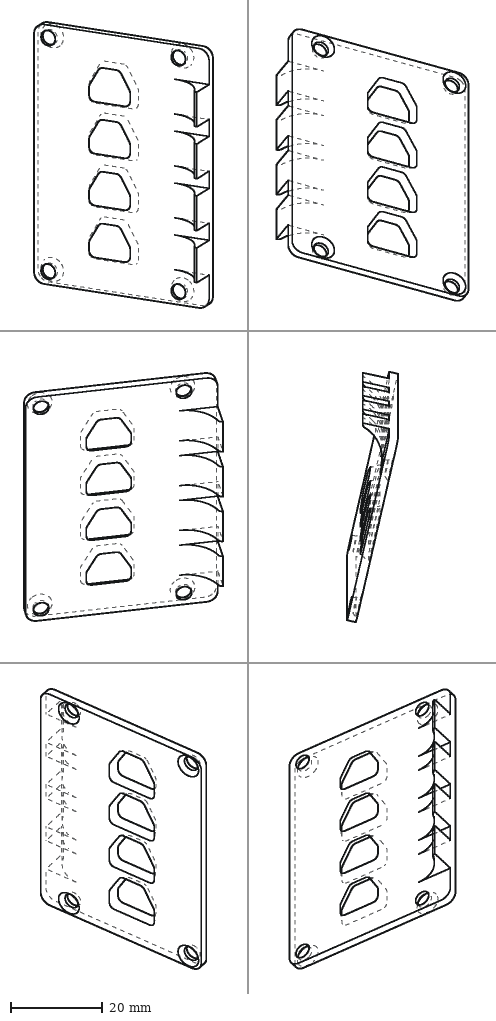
import cadquery as cq
import math

PLATE_WIDTH = 43.0
PLATE_HEIGHT = 60.0
PLATE_THICKNESS = 2.0
PLATE_CORNER_RADIUS = 2.5
LEFT_EDGE = -PLATE_WIDTH / 2
RIGHT_EDGE = PLATE_WIDTH / 2

HOLE_DIAMETER = 3.5
HOLE_COUNTERSINK_DEPTH = 1.0
HOLE_SIDE_INSET = 3.5
HOLE_END_INSET = 3.0
HOLE_SPACING_X = 32.0
HOLE_SPACING_Z = PLATE_HEIGHT - 2 * HOLE_END_INSET

STATION_COUNT = 4
STATION_PITCH = 12.0
STATION_HEIGHT = 8.05

WINDOW_WIDTH = 10.0
WINDOW_CENTER_X = LEFT_EDGE + 18.6
WINDOW_SIDE_HEIGHT = 3.55
WINDOW_SLOPE_ANGLE = 30.0
WINDOW_CORNER_RADIUS = 1.5
WINDOW_FLARE_SLOPE = 0.5

HOOK_DEPTH = 6.0
HOOK_CURVE_RADIUS = 8.0
HOOK_TIP_RADIUS = 1.0


def make_plate():
    plate = cq.Workplane("XY").box(PLATE_WIDTH, PLATE_THICKNESS, PLATE_HEIGHT)
    plate = plate.translate((0, PLATE_THICKNESS / 2, 0))
    return plate.edges("|Y").fillet(PLATE_CORNER_RADIUS)


def make_screw_hole():
    """Countersunk hole cutter along Y, centred on X = 0 and Z = 0."""
    radius = HOLE_DIAMETER / 2
    cone_start = PLATE_THICKNESS - HOLE_COUNTERSINK_DEPTH
    half_section = [
        (0, 0),
        (radius, 0),
        (radius, cone_start),
        (radius + HOLE_COUNTERSINK_DEPTH, PLATE_THICKNESS),
        (0, PLATE_THICKNESS),
    ]
    return cq.Workplane("XY").polyline(half_section).close().revolve(360, (0, 0), (0, 1))


def window_outline(growth):
    """Sharp-cornered window outline with every side moved outwards by the growth."""
    slope = math.radians(WINDOW_SLOPE_ANGLE)
    half_width = WINDOW_WIDTH / 2 + growth
    bottom = -STATION_HEIGHT / 2 - growth
    top = STATION_HEIGHT / 2 + growth
    shoulder = -STATION_HEIGHT / 2 + WINDOW_SIDE_HEIGHT + growth * math.tan(slope / 2)
    half_top = half_width - (top - shoulder) * math.tan(slope)
    return [
        (-half_width, bottom),
        (half_width, bottom),
        (half_width, shoulder),
        (half_top, top),
        (-half_top, top),
        (-half_width, shoulder),
    ]


def make_window():
    """Window cutter centred on Z = 0, widening evenly towards the back face."""
    return (
        cq.Workplane("XZ", origin=(WINDOW_CENTER_X, 0, 0))
        .polyline(window_outline(0))
        .close()
        .workplane(offset=-PLATE_THICKNESS)
        .polyline(window_outline(PLATE_THICKNESS * WINDOW_FLARE_SLOPE))
        .close()
        .loft(ruled=True)
        .edges("not #Y")
        .fillet(WINDOW_CORNER_RADIUS)
    )


def make_hook():
    """Hook centred on Z = 0, its root reaching back to the plate's mid-plane."""
    tip_y = -HOOK_DEPTH
    tip_center_y = tip_y + HOOK_TIP_RADIUS
    center_distance = HOOK_CURVE_RADIUS + HOOK_TIP_RADIUS
    center_rise = HOOK_CURVE_RADIUS + tip_center_y
    curve_angle = math.acos(center_rise / center_distance)
    curve_center_x = RIGHT_EDGE - center_distance * math.sin(curve_angle)

    def on_curve(angle):
        return (
            curve_center_x + HOOK_CURVE_RADIUS * math.sin(angle),
            -HOOK_CURVE_RADIUS + HOOK_CURVE_RADIUS * math.cos(angle),
        )

    def on_tip(angle):
        return (
            RIGHT_EDGE - HOOK_TIP_RADIUS * math.sin(angle),
            tip_center_y - HOOK_TIP_RADIUS * math.cos(angle),
        )

    root_y = PLATE_THICKNESS / 2
    return (
        cq.Workplane("XY")
        .moveTo(curve_center_x, root_y)
        .lineTo(*on_curve(0))
        .threePointArc(on_curve(curve_angle / 2), on_curve(curve_angle))
        .threePointArc(on_tip(curve_angle / 2), (RIGHT_EDGE, tip_y))
        .lineTo(RIGHT_EDGE, root_y)
        .close()
        .extrude(STATION_HEIGHT / 2, both=True)
    )


result = make_plate()

screw_hole = make_screw_hole()
left_hole_x = LEFT_EDGE + HOLE_SIDE_INSET
for hole_x in (left_hole_x, left_hole_x + HOLE_SPACING_X):
    for hole_z in (-HOLE_SPACING_Z / 2, HOLE_SPACING_Z / 2):
        result = result.cut(screw_hole.translate((hole_x, 0, hole_z)))

window = make_window()
hook = make_hook()
for station in range(STATION_COUNT):
    station_z = (station - (STATION_COUNT - 1) / 2) * STATION_PITCH
    result = result.cut(window.translate((0, 0, station_z)))
    result = result.union(hook.translate((0, 0, station_z)))